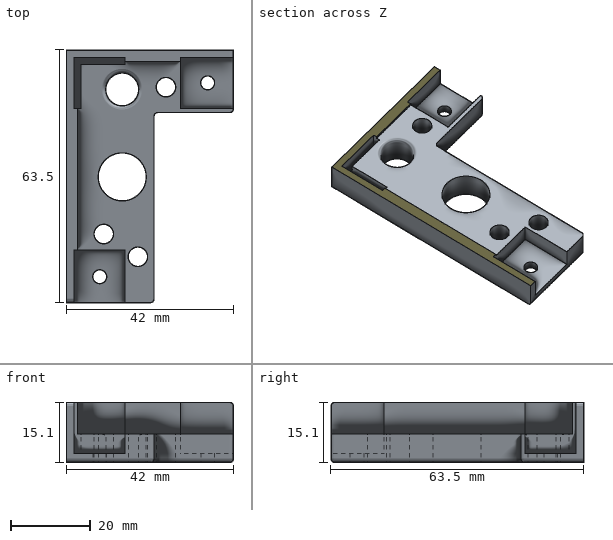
import cadquery as cq

width = 42.0
length = 63.5
height = 15.1
leg_width = 22.05
arm_width = 15.75
floor_top = 7.1
wall = 2.85
edge_radius = 0.95

pocket_wall = 1.9
pocket_width = 12.8
pocket_length = 13.3
pocket_floor = 2.3
slot_width = 1.8

screw_diameter = 3.4
screw_centers = [(35.5, 55.25), (8.4, 6.55)]
pin_diameter = 4.8
pin_centers = [(25.0, 54.15), (9.4, 17.3), (18.0, 11.55)]
bore_diameter = 12.0
bore_center = (14.05, 31.6)
rounded_bore_diameter = 8.2
rounded_bore_center = (14.05, 53.6)
bore_lip_radius = 1.0


def box(x_min, x_max, y_min, y_max, z_min, z_max):
    """Axis-aligned block between two opposite corners."""
    size = (x_max - x_min, y_max - y_min, z_max - z_min)
    return cq.Workplane("XY").box(*size, centered=False).translate((x_min, y_min, z_min))


def l_prism(leg, arm, z_top):
    """L-shaped plate along the two outer sides, standing on Z = 0."""
    outline = [
        (0, 0),
        (leg, 0),
        (leg, length - arm),
        (width, length - arm),
        (width, length),
        (0, length),
    ]
    return cq.Workplane("XY").polyline(outline).close().extrude(z_top)


def holes(diameter, centers):
    """Round cutters through the floor."""
    return cq.Workplane("XY").pushPoints(centers).circle(diameter / 2).extrude(height)


def make_base():
    """Thick floor with rounded free corners and bottom edges, and a rounded lip on one bore."""
    arm_edge = length - arm_width
    base = l_prism(leg_width, arm_width, floor_top)
    for x, y in [(leg_width, 0), (leg_width, arm_edge), (width, arm_edge)]:
        corner = cq.selectors.NearestToPointSelector((x, y, floor_top / 2))
        base = base.edges(corner).fillet(edge_radius)
    bottom_front = cq.selectors.NearestToPointSelector((leg_width / 2, 0, 0))
    base = base.edges(bottom_front).fillet(edge_radius)
    base = base.cut(holes(rounded_bore_diameter, [rounded_bore_center]))
    bore_rim = cq.selectors.NearestToPointSelector((*rounded_bore_center, floor_top))
    return base.faces(">Z").edges("%CIRCLE").edges(bore_rim).fillet(bore_lip_radius)


def make_walls():
    """Tall walls along the two outer sides, with the free ends rounded at top and bottom."""
    walls = l_prism(wall, wall, height)
    for x, y in [(wall / 2, 0), (width, length - wall / 2)]:
        for z in (0, height):
            end_edge = cq.selectors.NearestToPointSelector((x, y, z))
            walls = walls.edges(end_edge).fillet(edge_radius)
    return walls


def make_recesses():
    """Square pockets at both ends and an L-shaped slot in the outer corner."""
    inner_y = length - pocket_wall
    corner_x = pocket_wall + pocket_width
    corner_y = inner_y - pocket_width
    leg_pocket = box(pocket_wall, corner_x, 0, pocket_length, pocket_floor, height)
    arm_pocket = box(width - pocket_length, width, corner_y, inner_y, pocket_floor, height)
    slot_x = box(pocket_wall, corner_x, inner_y - slot_width, inner_y, pocket_floor, height)
    slot_y = box(pocket_wall, pocket_wall + slot_width, corner_y, inner_y, pocket_floor, height)
    return leg_pocket.union(arm_pocket).union(slot_x.union(slot_y))


result = make_base().union(make_walls())
result = result.cut(make_recesses())
for diameter, centers in [
    (screw_diameter, screw_centers),
    (pin_diameter, pin_centers),
    (bore_diameter, [bore_center]),
]:
    result = result.cut(holes(diameter, centers))